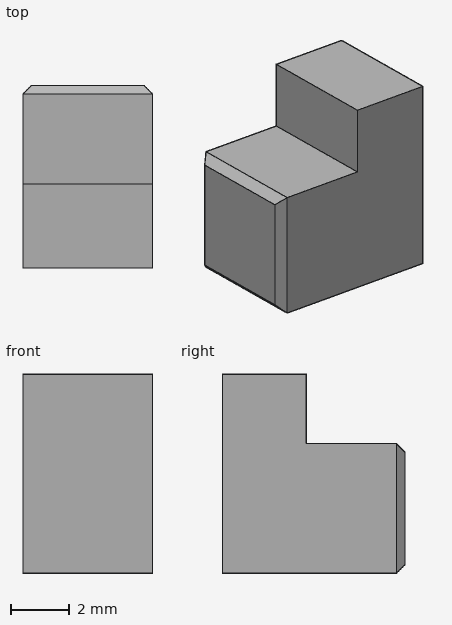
import cadquery as cq

width = 4.4
depth = 6.2
height = 6.75

wall_depth = 2.85
block_height = width
end_chamfer = 0.3

profile = [
    (0, 0),
    (depth, 0),
    (depth, block_height),
    (wall_depth, block_height),
    (wall_depth, height),
    (0, height),
]
body = cq.Workplane("YZ").polyline(profile).close().extrude(width / 2, both=True)

result = body.faces(">Y").edges().chamfer(end_chamfer)